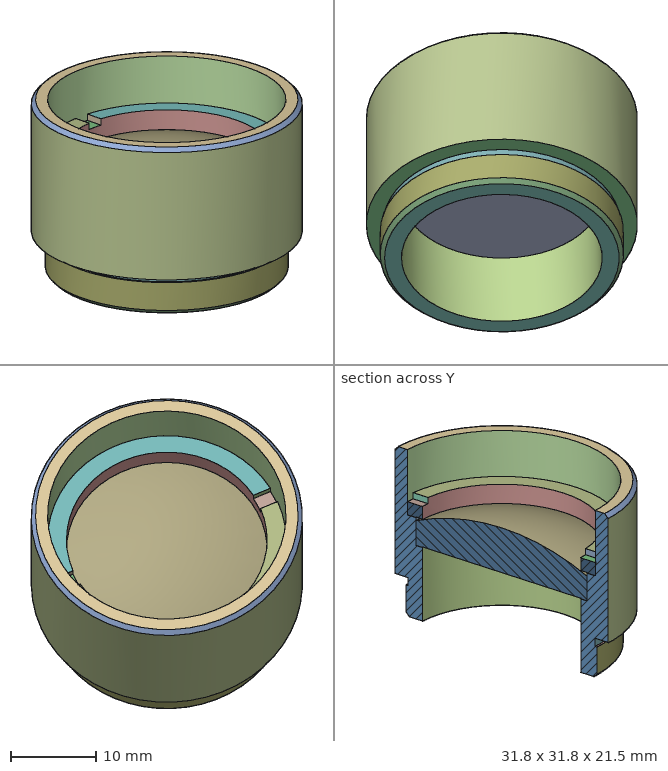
import cadquery as cq
import math

outer_diameter = 31.75
total_height = 21.5
spigot_diameter = 28.5
spigot_height = 4.0
groove_diameter = 27.92
groove_width = 1.0
edge_chamfer = 0.5
bore_diameter = 27.92
aperture_diameter = 23.5

ring_depth = 5.9
ring_thickness = 2.48
slot_width = 1.97
slot_depth = 0.8

lens_diameter = 25.4
lens_sag = 2.25
lens_rim_height = 3.18

lens_radius = lens_diameter / 2
aperture_radius = aperture_diameter / 2
shoulder_z = spigot_height + groove_width
ring_top_z = total_height - ring_depth
ring_bottom_z = ring_top_z - ring_thickness
lens_top_z = ring_bottom_z + lens_sag
lens_curve_radius = (aperture_radius**2 + lens_sag**2) / (2 * lens_sag)


def lens_surface_z(radius):
    """Height of the lens's spherical face at a distance from the axis."""
    return lens_top_z - lens_curve_radius + math.sqrt(lens_curve_radius**2 - radius**2)


lens_rim_z = lens_surface_z(lens_radius)
seat_z = lens_rim_z - lens_rim_height


def cylinder(diameter, bottom_z, top_z):
    return cq.Workplane("XY", origin=(0, 0, bottom_z)).circle(diameter / 2).extrude(top_z - bottom_z)


def make_housing():
    spigot = cylinder(spigot_diameter, 0, spigot_height).faces("<Z").chamfer(edge_chamfer)
    neck = cylinder(groove_diameter, spigot_height, shoulder_z)
    barrel = cylinder(outer_diameter, shoulder_z, total_height).faces(">Z").chamfer(edge_chamfer)
    ring_bore = cylinder(bore_diameter, ring_bottom_z, total_height)
    lens_bore = cylinder(lens_diameter, seat_z, ring_bottom_z)
    aperture = cylinder(aperture_diameter, 0, seat_z)
    return spigot.union(neck).union(barrel).cut(ring_bore).cut(lens_bore).cut(aperture)


def make_lens():
    """Revolved half section, resting on the seat at the foot of the lens bore."""
    mid_radius = lens_radius / 2
    return (
        cq.Workplane("XZ")
        .moveTo(0, seat_z)
        .lineTo(lens_radius, seat_z)
        .lineTo(lens_radius, lens_rim_z)
        .threePointArc((mid_radius, lens_surface_z(mid_radius)), (0, lens_top_z))
        .close()
        .revolve(360, (0, 0, 0), (0, 1, 0))
    )


def make_retaining_ring():
    """Ring pressing on the lens, with a spanner slot across its upper face."""
    blank = cylinder(bore_diameter, ring_bottom_z, ring_top_z)
    opening = cylinder(aperture_diameter, ring_bottom_z, ring_top_z)
    slot = (
        cq.Workplane("XY", origin=(0, 0, ring_top_z))
        .rect(bore_diameter, slot_width)
        .extrude(-slot_depth)
    )
    return blank.cut(opening).cut(slot)


housing = make_housing()
lens = make_lens()
retaining_ring = make_retaining_ring()

result = cq.Compound.makeCompound([housing.val(), lens.val(), retaining_ring.val()])